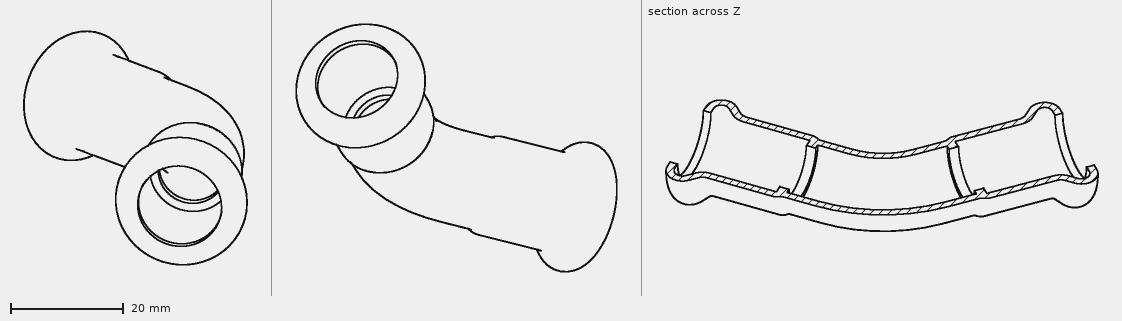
import cadquery as cq
import math

wall = 1.5
socket_radius = 18.0 / 2
tube_radius = 16.8 / 2
socket_bore_radius = socket_radius - wall
tube_bore_radius = tube_radius - wall
stop_bore_radius = 12.0 / 2

bead_outer_radius = 23.5 / 2
bead_round = 2.95
bead_center_radius = bead_outer_radius - bead_round
bead_slope = math.radians(45)
bead_fillet = 2.05

step_start = 20.55
step_slope = math.radians(30)
step_round = 1.5

bend_radius = 22.5
bend_angle = 45.0
end_length = 28.37

fillet_center_radius = socket_radius + bead_fillet
center_rise = fillet_center_radius - bead_center_radius
center_gap = (bead_round + bead_fillet - center_rise * math.cos(bead_slope)) / math.sin(bead_slope)
bead_center = (bead_round, bead_center_radius)
fillet_center = (bead_round + center_gap, fillet_center_radius)

step_drop = socket_radius - tube_radius
rounds_drop = 2 * step_round * (1 - math.cos(step_slope))
rounds_length = 2 * step_round * math.sin(step_slope)
step_end = step_start + rounds_length + (step_drop - rounds_drop) / math.tan(step_slope)


def on_circle(center, radius, angle):
    """Point on a circle, with the angle measured from the radial direction toward the bend."""
    return (center[0] + radius * math.sin(angle), center[1] + radius * math.cos(angle))


def arc_to(sketch, center, radius, middle_angle, end_angle):
    """Continue the outline along a circle to end_angle, passing middle_angle."""
    return sketch.threePointArc(
        on_circle(center, radius, middle_angle), on_circle(center, radius, end_angle)
    )


def make_end():
    """Straight end with its mouth at x = 0, turned about the X axis."""
    quarter = math.pi / 2
    flank_middle = (bead_slope - quarter) / 2
    toward_axis = math.pi + bead_slope
    fillet_middle = math.pi + bead_slope / 2
    groove_round = bead_round - wall
    groove_fillet = bead_fillet + wall
    upper_center = (step_start, socket_radius - step_round)
    lower_center = (step_end, tube_radius + step_round)

    outline = cq.Workplane("XY").moveTo(0, socket_bore_radius).lineTo(0, bead_center_radius)
    outline = arc_to(outline, bead_center, bead_round, flank_middle, bead_slope)
    outline = outline.lineTo(*on_circle(fillet_center, bead_fillet, toward_axis))
    outline = arc_to(outline, fillet_center, bead_fillet, fillet_middle, math.pi)
    outline = outline.lineTo(step_start, socket_radius)
    outline = arc_to(outline, upper_center, step_round, step_slope / 2, step_slope)
    outline = outline.lineTo(*on_circle(lower_center, step_round, math.pi + step_slope))
    outline = arc_to(outline, lower_center, step_round, math.pi + step_slope / 2, math.pi)
    outline = outline.lineTo(end_length, tube_radius)

    outline = outline.lineTo(end_length, tube_bore_radius).lineTo(step_end, tube_bore_radius)
    outline = outline.lineTo(step_end, stop_bore_radius).lineTo(step_start, stop_bore_radius)
    outline = outline.lineTo(step_start, socket_bore_radius)
    outline = outline.lineTo(fillet_center[0], socket_bore_radius)
    outline = arc_to(outline, fillet_center, groove_fillet, fillet_middle, toward_axis)
    outline = outline.lineTo(*on_circle(bead_center, groove_round, bead_slope))
    outline = arc_to(outline, bead_center, groove_round, flank_middle, -quarter)
    outline = outline.lineTo(wall, socket_bore_radius)
    return outline.close().revolve(360, (0, 0, 0), (1, 0, 0))


def make_bend():
    """Curved tube about the Z axis, starting square to the X axis."""
    section = cq.Workplane("YZ").center(bend_radius, 0).circle(tube_radius).circle(tube_bore_radius)
    return section.revolve(bend_angle, (-bend_radius, 0, 0), (-bend_radius, -1, 0))


first_end = make_end().translate((-end_length, bend_radius, 0))
second_end = first_end.mirror("YZ").rotate((0, 0, 0), (0, 0, 1), -bend_angle)
result = first_end.union(make_bend()).union(second_end)